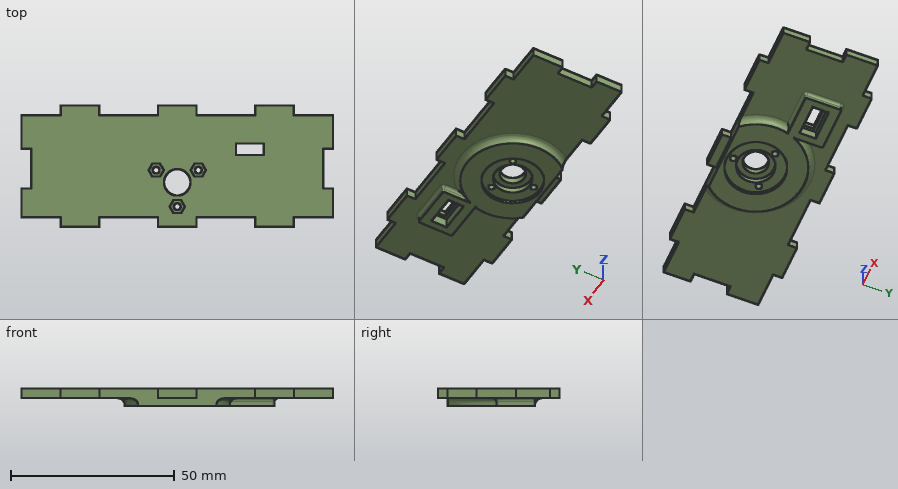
import cadquery as cq
import math

length = 95.4
width = 37.2
thickness = 3.1
total_height = 5.4
tab_depth = 3.0
tab_width = 11.9
tab_spacing = 29.8
notch_depth = 3.0
notch_width = 12.0
notch_y = -0.8
body_width = width - 2 * tab_depth

boss_height = total_height - thickness
boss_y = -5.0
boss_radius = 32.15 / 2
boss_root_fillet = 2.0

shaft_hole_diameter = 8.0
shaft_hole_depth = 2.4
collar_diameter = 12.0
motor_pocket_diameter = 19.2
motor_pocket_depth = 1.05

nut_circle_radius = 7.4
nut_angles = (30, 150, 270)
nut_across_flats = 4.0
nut_pocket_depth = 1.5
screw_hole_diameter = 2.0

slot_length = 8.4
slot_width = 3.4
slot_x = 22.2
slot_y = 5.15
slot_depth = 1.9
slot_pocket_clearance = 1.0
block_margin_x = 3.3
block_margin_y = 4.2
block_corner_radius = 0.5
block_root_fillet = 1.0


def plane_at(x, y, z):
    """Horizontal workplane with its origin at the given point."""
    return cq.Workplane("XY", origin=(x, y, z))


def make_plate():
    """Rectangular plate with three tabs on each long side and a notch in each end."""
    plate = cq.Workplane("XY").rect(length, body_width).extrude(thickness)
    tabs = (
        cq.Workplane("XY")
        .pushPoints([(-tab_spacing, 0), (0, 0), (tab_spacing, 0)])
        .rect(tab_width, width)
        .extrude(thickness)
    )
    notches = (
        cq.Workplane("XY")
        .pushPoints([(-length / 2, notch_y), (length / 2, notch_y)])
        .rect(2 * notch_depth, notch_width)
        .extrude(thickness)
    )
    return plate.union(tabs).cut(notches)


def make_boss():
    """Round boss, flared at its root and cut flush with the long side of the plate."""
    boss = (
        cq.Workplane("XZ")
        .lineTo(boss_radius + boss_root_fillet, 0)
        .radiusArc((boss_radius, -boss_root_fillet), -boss_root_fillet)
        .lineTo(boss_radius, -boss_height)
        .lineTo(0, -boss_height)
        .close()
        .revolve(360, (0, 0, 0), (0, 1, 0))
        .translate((0, boss_y, 0))
    )
    body_envelope = cq.Workplane("XY").rect(length, body_width).extrude(-boss_height)
    return boss.intersect(body_envelope)


def make_slot_block():
    """Rounded block around the slot, flared where it meets the plate."""
    block_length = slot_length + 2 * block_margin_x
    block_width = slot_width + 2 * block_margin_y
    flare = 2 * block_root_fillet
    pad = (
        plane_at(slot_x, slot_y, 0)
        .rect(block_length + 2 * flare, block_width + 2 * flare)
        .extrude(thickness)
    )
    block = (
        plane_at(slot_x, slot_y, 0)
        .rect(block_length, block_width)
        .extrude(-boss_height)
        .edges("|Z")
        .fillet(block_corner_radius)
    )
    reach_x = block_length / 2 + block_root_fillet
    reach_y = block_width / 2 + block_root_fillet
    root_edges = cq.selectors.BoxSelector(
        (slot_x - reach_x, slot_y - reach_y, -block_corner_radius / 2),
        (slot_x + reach_x, slot_y + reach_y, block_corner_radius / 2),
    )
    return pad.union(block).edges(root_edges).fillet(block_root_fillet)


def make_motor_bore():
    """Shaft hole opening into a collar recess and then into the motor pocket."""
    bottom = plane_at(0, boss_y, -boss_height)
    shaft_hole = bottom.circle(shaft_hole_diameter / 2).extrude(total_height)
    collar_recess = bottom.circle(collar_diameter / 2).extrude(total_height - shaft_hole_depth)
    motor_pocket = bottom.circle(motor_pocket_diameter / 2).extrude(motor_pocket_depth)
    return shaft_hole.union(collar_recess).union(motor_pocket)


def make_nut_hole(angle):
    """Hexagonal nut pocket in the top face with a screw hole through its floor."""
    x = nut_circle_radius * math.cos(math.radians(angle))
    y = boss_y + nut_circle_radius * math.sin(math.radians(angle))
    across_corners = nut_across_flats / math.cos(math.radians(30))
    top = plane_at(x, y, thickness)
    pocket = top.polygon(6, across_corners).extrude(-nut_pocket_depth)
    screw_hole = top.circle(screw_hole_diameter / 2).extrude(-total_height)
    return pocket.union(screw_hole)


def make_slot():
    """Slot in the top face that widens into a pocket open at the bottom of the block."""
    slot = plane_at(slot_x, slot_y, thickness).rect(slot_length, slot_width).extrude(-slot_depth)
    pocket_length = slot_length + 2 * slot_pocket_clearance
    pocket_width = slot_width + 2 * slot_pocket_clearance
    pocket = (
        plane_at(slot_x, slot_y, -boss_height)
        .rect(pocket_length, pocket_width)
        .extrude(total_height - slot_depth)
    )
    return slot.union(pocket)


result = make_plate().union(make_boss()).union(make_slot_block())
result = result.cut(make_motor_bore()).cut(make_slot())
for nut_angle in nut_angles:
    result = result.cut(make_nut_hole(nut_angle))